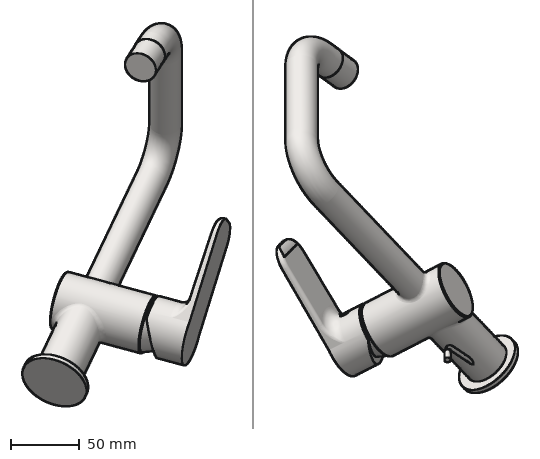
import cadquery as cq
import math


overlap = 2.5

overall_length = 252.0

flange_radius = 25.0
flange_thickness = 4.0
flange_y = -76.0
column_radius = 17.5

body_radius = 22.0
body_left = -23.2
body_right = 46.4
body_edge_chamfer = 0.8
joint_fillet = 3.5

neck_radius = 21.0
neck_end_radius = 17.1
neck_end_x = 56.5

tube_radius = 12.0
spout_reach = flange_y + overall_length - tube_radius
lower_bend_radius = 30.0
upper_bend_radius = 35.0
upper_bend_z = 108.0
outlet_rise = 15.0
outlet_neck_length = 9.3
outlet_length = 20.2
outlet_step = 0.13
outlet_radius = tube_radius - outlet_step

handle_rise = 30.0
hub_radius = 22.2
hub_start = 48.0
hub_end = 79.4
hub_slope = 0.48
lever_length = 89.2
lever_half_width = 21.5
lever_corner_radius = 15.0
lever_root_thickness = 5.5
lever_tip_thickness = 4.5
lever_rim_fillet = 2.8
lever_tip_start = 81.5
lever_tip_edge = 2.0
lever_blend_radius = 9.0
lever_blend_end = hub_radius + lever_blend_radius
dot_radius = 3.5
dot_depth = 0.5
dot_x = 63.2

rod_radius = 1.8
rod_tip_radius = 2.4
rod_tip_y = -22.0
rod_tip_bottom = -41.5
rod_tip_top = -32.0
rod_bend_radius = 8.0
rod_rise = 18.0
rod_straight = 40.3


def x_cylinder(radius, start, end):
    return cq.Workplane("YZ", origin=(start, 0, 0)).circle(radius).extrude(end - start)


def y_cylinder(radius, start, end):
    return cq.Workplane("XZ", origin=(0, start, 0)).circle(radius).extrude(start - end)


def make_body():
    """Valve body with its column and spout stub, joined by small fillets."""
    body = x_cylinder(body_radius, body_left, body_right).faces("<X or >X").chamfer(body_edge_chamfer)
    column = y_cylinder(column_radius, flange_y, 0)
    spout = y_cylinder(tube_radius, 0, spout_reach - lower_bend_radius)
    body = body.union(column).union(spout)
    joints = cq.selectors.BoxSelector(
        (-column_radius - overlap, -body_radius, -body_radius),
        (column_radius + overlap, body_radius, body_radius),
    )
    body = body.edges("not %CIRCLE").edges("not %LINE").edges(joints).fillet(joint_fillet)
    return body.union(y_cylinder(flange_radius, flange_y, flange_y + flange_thickness))


def make_spout():
    """Bent tube from the end of the horizontal run up to the outlet."""
    rise = math.radians(outlet_rise)
    lower_start = (spout_reach - lower_bend_radius, 0)
    lower_middle = (
        spout_reach - lower_bend_radius * (1 - math.sin(math.pi / 4)),
        lower_bend_radius * (1 - math.cos(math.pi / 4)),
    )
    upper_centre_y = spout_reach - upper_bend_radius

    def on_upper_bend(angle):
        return (
            upper_centre_y + upper_bend_radius * math.cos(angle),
            upper_bend_z + upper_bend_radius * math.sin(angle),
        )

    turn = math.pi / 2 - rise
    bend_end = on_upper_bend(turn)
    neck_end = (
        bend_end[0] - outlet_neck_length * math.cos(rise),
        bend_end[1] + outlet_neck_length * math.sin(rise),
    )
    path = (
        cq.Workplane("YZ")
        .moveTo(*lower_start)
        .threePointArc(lower_middle, (spout_reach, lower_bend_radius))
        .lineTo(spout_reach, upper_bend_z)
        .threePointArc(on_upper_bend(turn / 2), bend_end)
        .lineTo(*neck_end)
    )
    tube = cq.Workplane("XZ", origin=(0, lower_start[0], 0)).circle(tube_radius).sweep(path)
    outlet_plane = cq.Plane(
        origin=(0, neck_end[0], neck_end[1]),
        xDir=(1, 0, 0),
        normal=(0, -math.cos(rise), math.sin(rise)),
    )
    return tube.union(cq.Workplane(outlet_plane).circle(outlet_radius).extrude(outlet_length))


def make_neck():
    """Neck that tapers from the body into the handle hub."""
    return (
        cq.Workplane("XY")
        .moveTo(body_right - overlap, 0)
        .lineTo(body_right - overlap, neck_radius)
        .lineTo(body_right, neck_radius)
        .lineTo(neck_end_x, neck_end_radius)
        .lineTo(neck_end_x + overlap, neck_end_radius)
        .lineTo(neck_end_x + overlap, 0)
        .close()
        .revolve(360, (0, 0, 0), (1, 0, 0))
    )


def make_hub():
    """Hub whose inner end slopes back on the side opposite the lever."""
    hub = x_cylinder(hub_radius, hub_start, hub_end)
    far = 2 * hub_radius
    slope_cut = (
        cq.Workplane("XY")
        .polyline([(hub_start, 0), (hub_start + hub_slope * far, -far), (hub_start, -far)])
        .close()
        .extrude(far, both=True)
    )
    return hub.cut(slope_cut)


def make_lever_slab():
    """Flat lever along +Y that thins outward from its root."""
    root_x = hub_end - lever_root_thickness
    tip_x = hub_end - lever_tip_thickness
    corners = [
        (hub_end, 0),
        (root_x, 0),
        (root_x, lever_blend_end),
        (tip_x, lever_length),
        (hub_end, lever_length),
    ]
    slab = cq.Workplane("XY").polyline(corners).close().extrude(lever_half_width, both=True)
    return slab.edges("|X and >Y").fillet(lever_corner_radius)


def make_lever_blend():
    """Concave blend from the hub's round side into the lever's inner face."""
    blend_top = hub_end - lever_root_thickness
    blend_start = blend_top - lever_blend_radius
    inset = lever_blend_radius * math.sin(math.pi / 4)
    ring = (
        cq.Workplane("XY")
        .moveTo(blend_start, 0)
        .lineTo(blend_start, hub_radius)
        .threePointArc((blend_start + inset, lever_blend_end - inset), (blend_top, lever_blend_end))
        .lineTo(hub_end, lever_blend_end)
        .lineTo(hub_end, 0)
        .close()
        .revolve(360, (0, 0, 0), (1, 0, 0))
    )
    keep = cq.Workplane("XY").box(
        2 * hub_end, lever_blend_end, 2 * lever_half_width, centered=(True, False, True)
    )
    return ring.intersect(keep)


def make_tip_cutter():
    """Waste outside the arc that rounds the lever's inner face down to its tip."""
    tip_x = hub_end - lever_tip_thickness
    edge_x = hub_end - lever_tip_edge
    run = lever_length - lever_tip_start
    drop = edge_x - tip_x
    arc_radius = (run**2 + drop**2) / (2 * drop)
    return (
        cq.Workplane("XY")
        .moveTo(tip_x, lever_tip_start)
        .radiusArc((edge_x, lever_length), arc_radius)
        .lineTo(edge_x, lever_length + overlap)
        .lineTo(tip_x - overlap, lever_length + overlap)
        .lineTo(tip_x - overlap, lever_tip_start)
        .close()
        .extrude(2 * lever_half_width, both=True)
    )


def make_lever():
    """Lever with its blend, a rounded inner rim and a rounded-off tip."""
    lever = make_lever_slab().union(make_lever_blend())
    rim = lever.faces(">Y").edges("|Z").edges("<X")
    return rim.fillet(lever_rim_fillet).cut(make_tip_cutter())


def make_handle():
    """Hub and lever with a shallow round mark under the lever, turned to the lever's rise."""
    dot = (
        cq.Workplane("XZ", origin=(dot_x, hub_radius - dot_depth, 0))
        .circle(dot_radius)
        .extrude(-overlap)
    )
    handle = make_hub().union(make_lever()).cut(dot)
    return handle.rotate((0, 0, 0), (1, 0, 0), handle_rise)


def make_drain_rod():
    """Thin rod that leaves the column at a slant and turns straight down."""
    turn = math.pi / 2 - math.radians(rod_rise)

    def on_bend(angle):
        return (
            rod_tip_y - rod_bend_radius * (1 - math.cos(angle)),
            rod_tip_top + rod_bend_radius * math.sin(angle),
        )

    bend_end = on_bend(turn)
    path = (
        cq.Workplane("YZ")
        .moveTo(rod_tip_y, rod_tip_top)
        .threePointArc(on_bend(turn / 2), bend_end)
        .lineTo(
            bend_end[0] - rod_straight * math.sin(turn),
            bend_end[1] + rod_straight * math.cos(turn),
        )
    )
    rod = cq.Workplane("XY", origin=(0, rod_tip_y, rod_tip_top)).circle(rod_radius).sweep(path)
    tip = (
        cq.Workplane("XY", origin=(0, rod_tip_y, rod_tip_bottom))
        .circle(rod_tip_radius)
        .extrude(rod_tip_top - rod_tip_bottom)
    )
    return rod.union(tip)


result = make_body().union(make_spout()).union(make_neck()).union(make_handle()).union(make_drain_rod())